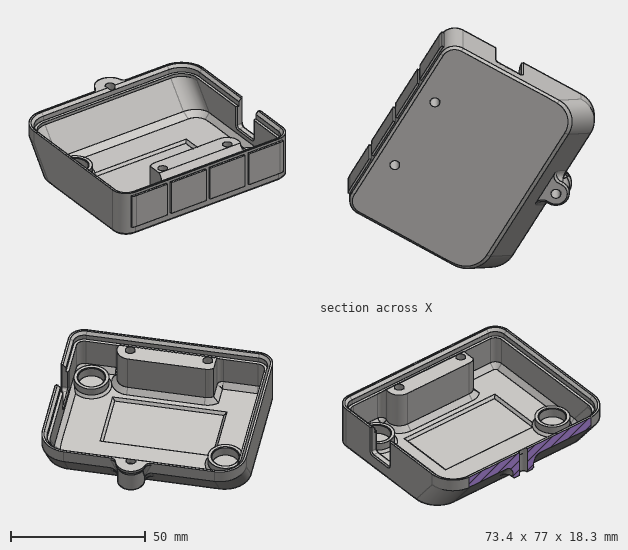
import cadquery as cq
import math


body_length = 66.8
body_width = 77.0
body_height = 18.32
left_corner_radius = 10.0
right_corner_radius = 6.0
bottom_chamfer = 1.0
rim_base_z = 13.4
underside_left_x = 10.2

wall = 3.0
floor_z = 2.0
floor_chamfer = 2.0
cavity_slope_top_z = 14.0
floor_left_x = 12.35
rim_flat = 0.8
seat_inset = 1.9
seat_z = body_height - 3.1
rim_bevel = seat_inset - rim_flat

recess_x = (25.5, 49.9)
recess_y = (-23.5, 19.7)
recess_depth = 1.0

ring_centers = [(54.75, 28.6), (21.9, -28.3)]
ring_outer_diameter = 13.0
ring_bore_diameter = 10.0
ring_height = 4.0
ring_foot = 1.0
ring_bore_chamfer = 0.3

screw_diameter = 3.6

block_hole_x = 58.9
block_hole_y = (-14.5, 14.8)
block_radius = body_length - wall - block_hole_x
block_front_y = -17.5
block_slope_x = 60.9
block_foot = 2.0
block_wall_fillet = 2.0

lug_y = 3.1
lug_radius = 5.8
lug_plate_thickness = 1.0
lug_plate_fillet = 2.0
boss_radius = 5.0
boss_cone_height = 1.6
boss_bottom_z = 7.4
boss_bottom_chamfer = 0.8
boss_flare = 3.0
neck_flare = 2.6
neck_end_flare = 0.3
neck_end_z = 12.0

notch_x = (35.3, 46.2)
notch_z = 6.2
notch_corner_radius = 1.1
notch_chamfer = 0.5

panel_height = 0.8
panel_z = (3.8, 17.2)
panel_pitch = 17.6
panel_gap = 1.8
panel_count = 4

overlap = 1.0


def outline(z, inset, left_x=None):
    """Rounded rectangle of the body moved inwards by inset; left_x overrides its left side."""
    x0 = inset if left_x is None else left_x
    x1 = body_length - inset
    y1 = body_width / 2 - inset
    rl = left_corner_radius - inset
    rr = right_corner_radius - inset
    diag = math.sqrt(0.5)
    return (
        cq.Workplane("XY", origin=(0, 0, z))
        .moveTo(x0 + rl, -y1)
        .lineTo(x1 - rr, -y1)
        .threePointArc((x1 - rr + rr * diag, -y1 + rr - rr * diag), (x1, -y1 + rr))
        .lineTo(x1, y1 - rr)
        .threePointArc((x1 - rr + rr * diag, y1 - rr + rr * diag), (x1 - rr, y1))
        .lineTo(x0 + rl, y1)
        .threePointArc((x0 + rl - rl * diag, y1 - rl + rl * diag), (x0, y1 - rl))
        .lineTo(x0, -y1 + rl)
        .threePointArc((x0 + rl - rl * diag, -y1 + rl - rl * diag), (x0 + rl, -y1))
        .close()
    )


def loft(lower, upper):
    """Straight-sided solid between two closed sections."""
    return cq.Workplane(cq.Solid.makeLoft([lower.wire().val(), upper.wire().val()], True))


def box(xs, ys, zs):
    """Axis-aligned box between pairs of limits."""
    return cq.Workplane(cq.Solid.makeBox(
        xs[1] - xs[0], ys[1] - ys[0], zs[1] - zs[0], cq.Vector(xs[0], ys[0], zs[0])
    ))


def cylinder(x, y, z0, z1, radius):
    return cq.Workplane("XY", origin=(x, y, z0)).circle(radius).extrude(z1 - z0)


def cone(x, y, z0, z1, radius0, radius1):
    return cq.Workplane(cq.Solid.makeCone(radius0, radius1, z1 - z0, cq.Vector(x, y, z0)))


def make_body():
    tub = loft(outline(0, 0, underside_left_x), outline(rim_base_z, 0))
    tub = tub.faces("<Z").chamfer(bottom_chamfer)
    rim = outline(rim_base_z, 0).extrude(body_height - rim_base_z)
    return tub.union(rim)


def make_cavity():
    lower = loft(outline(floor_z, wall, floor_left_x), outline(cavity_slope_top_z, wall))
    lower = lower.faces("<Z").chamfer(floor_chamfer)
    upper = outline(cavity_slope_top_z, wall).extrude(body_height - cavity_slope_top_z)
    return lower.union(upper)


def make_lid_seat():
    seat = outline(seat_z, seat_inset).extrude(body_height - seat_z)
    bevel = loft(outline(body_height - rim_bevel, seat_inset), outline(body_height, rim_flat))
    return seat.union(bevel)


def make_floor_recess():
    length = recess_x[1] - recess_x[0]
    width = recess_y[1] - recess_y[0]
    return (
        cq.Workplane("XY", origin=(sum(recess_x) / 2, sum(recess_y) / 2, floor_z))
        .rect(length, width)
        .extrude(-recess_depth, taper=45)
    )


def make_ring(x, y):
    """Solid ring with a flared foot; the bore is cut separately."""
    radius = ring_outer_diameter / 2
    post = cylinder(x, y, floor_z - recess_depth, floor_z + ring_height, radius)
    foot = cone(x, y, floor_z, floor_z + ring_foot, radius + ring_foot, radius)
    base = cylinder(x, y, floor_z - recess_depth, floor_z, radius + ring_foot)
    return post.union(foot).union(base)


def make_ring_bore(x, y):
    radius = ring_bore_diameter / 2
    top_z = floor_z + ring_height
    bore = cylinder(x, y, floor_z, top_z, radius)
    lead_in = cone(x, y, top_z - ring_bore_chamfer, top_z, radius, radius + ring_bore_chamfer)
    return bore.union(lead_in)


def block_section(z, grow):
    """Block outline grown by grow: rounded about both holes, cut flat in front, run into the wall."""
    radius = block_radius + grow
    front_y = block_front_y - grow
    left_x = block_hole_x - radius
    right_x = block_hole_x + radius
    inside_wall_x = right_x + overlap
    front_angle = math.pi + math.asin((block_hole_y[0] - front_y) / radius)

    def on_front_round(angle):
        return (block_hole_x + radius * math.cos(angle), block_hole_y[0] + radius * math.sin(angle))

    return (
        cq.Workplane("XY", origin=(0, 0, z))
        .moveTo(inside_wall_x, front_y)
        .lineTo(inside_wall_x, block_hole_y[1])
        .lineTo(right_x, block_hole_y[1])
        .threePointArc((block_hole_x, block_hole_y[1] + radius), (left_x, block_hole_y[1]))
        .lineTo(left_x, block_hole_y[0])
        .threePointArc(on_front_round((math.pi + front_angle) / 2), on_front_round(front_angle))
        .close()
    )


def make_wall_fillet(start_x, start_y, center_y):
    """Concave fillet from the block to the right wall, narrowing to a point at the floor."""
    radius = block_wall_fillet
    wall_x = body_length - wall
    center_x = wall_x - radius
    foot_top_z = floor_z + block_foot
    patch = box(
        (start_x, wall_x + overlap),
        (min(start_y, center_y), max(start_y, center_y)),
        (floor_z, body_height),
    )
    hollow = cylinder(center_x, center_y, foot_top_z, body_height, radius)
    hollow_foot = cone(center_x, center_y, floor_z, foot_top_z, 0, radius)
    return patch.cut(hollow).cut(hollow_foot)


def make_block():
    wall_x = body_length - wall
    fillet_x = wall_x - block_wall_fillet
    column = block_section(floor_z, 0).extrude(body_height - floor_z)
    foot = loft(block_section(floor_z, block_foot), block_section(floor_z + block_foot, 0))
    front_fillet = make_wall_fillet(fillet_x, block_front_y, block_front_y - block_wall_fillet)

    center_gap = block_radius + block_wall_fillet
    rise = math.sqrt(center_gap**2 - (fillet_x - block_hole_x) ** 2)
    touch_x = block_hole_x + (fillet_x - block_hole_x) * block_radius / center_gap
    rear_fillet = make_wall_fillet(touch_x, block_hole_y[1], block_hole_y[1] + rise)

    slope = (
        cq.Workplane("XZ")
        .polyline([
            (block_slope_x, body_height),
            (wall_x, seat_z),
            (body_length, seat_z),
            (body_length, body_height),
        ])
        .close()
        .extrude(body_width / 2, both=True)
    )
    return column.union(foot).union(front_fillet).union(rear_fillet).cut(slope)


def flare_section(z, wall_x, side, flare):
    """Web of half-width side that flares with concave arcs into a wall at wall_x."""
    back_x = wall_x + overlap
    bulge = flare * (1 - math.sqrt(0.5))
    return (
        cq.Workplane("XY", origin=(0, lug_y, z))
        .moveTo(back_x, side + flare)
        .lineTo(wall_x, side + flare)
        .threePointArc((wall_x - bulge, side + bulge), (wall_x - flare, side))
        .lineTo(wall_x - flare, -side)
        .threePointArc((wall_x - bulge, -side - bulge), (wall_x, -side - flare))
        .lineTo(back_x, -side - flare)
        .close()
    )


def make_lug_plate():
    """Half-round plate flush with the rim, blended into the wall by two concave arcs."""
    z0 = body_height - lug_plate_thickness
    fillet_y = math.sqrt((lug_radius + lug_plate_fillet) ** 2 - lug_plate_fillet**2)
    touch = lug_radius / (lug_radius + lug_plate_fillet)
    web = (
        cq.Workplane("XY", origin=(0, lug_y, z0))
        .rect(2 * lug_plate_fillet * touch, 2 * fillet_y)
        .extrude(lug_plate_thickness)
    )
    for side in (-1, 1):
        web = web.cut(
            cylinder(-lug_plate_fillet, lug_y + side * fillet_y, z0, body_height, lug_plate_fillet)
        )
    return web.union(cylinder(0, lug_y, z0, body_height, lug_radius))


def slope_x(z):
    """X of the outer slope at height z."""
    return underside_left_x * (1 - z / rim_base_z)


def make_slope_flare():
    """Web joining the boss to the sloped end, bevelled underneath like the boss."""
    bevel_z = boss_bottom_z + boss_bottom_chamfer
    bottom_side = boss_radius - boss_bottom_chamfer
    bottom = flare_section(boss_bottom_z, slope_x(boss_bottom_z), bottom_side, boss_flare)
    middle = flare_section(bevel_z, slope_x(bevel_z), boss_radius, boss_flare)
    top = flare_section(rim_base_z, 0, boss_radius, boss_flare)
    flare_side = boss_radius + boss_flare
    beside_wall = box(
        (0, body_length),
        (lug_y - flare_side, lug_y + flare_side),
        (boss_bottom_z, rim_base_z),
    )
    return loft(bottom, middle).union(loft(middle, top)).intersect(beside_wall)


def make_lug():
    plate_z = body_height - lug_plate_thickness
    post = cylinder(0, lug_y, boss_bottom_z, plate_z, boss_radius)
    web = box(
        (0, slope_x(boss_bottom_z) + overlap),
        (lug_y - boss_radius, lug_y + boss_radius),
        (boss_bottom_z, rim_base_z),
    )
    boss = post.union(web).faces("<Z").chamfer(boss_bottom_chamfer)
    head = cone(0, lug_y, plate_z - boss_cone_height, plate_z, boss_radius, lug_radius)
    neck = loft(
        flare_section(neck_end_z, 0, boss_radius, neck_end_flare),
        flare_section(plate_z, 0, boss_radius, neck_flare),
    )
    return boss.union(head).union(make_slope_flare()).union(neck).union(make_lug_plate())


def make_panels():
    """Row of plain raised panels that follow the right end and its corners."""
    z0, z1 = panel_z
    skin = outline(z0, -panel_height).extrude(z1 - z0)
    panels = cq.Workplane()
    for index in range(panel_count):
        center_y = (index - (panel_count - 1) / 2) * panel_pitch
        half_width = (panel_pitch - panel_gap) / 2
        slab = box(
            (body_length - wall, body_length + wall),
            (center_y - half_width, center_y + half_width),
            (z0, z1),
        )
        panels = panels.add(slab.intersect(skin))
    return panels


def make_notch():
    """Connector opening through the rear wall with rounded lower corners and bevelled rims."""
    center_x = sum(notch_x) / 2
    width = notch_x[1] - notch_x[0]
    height = body_height - notch_z
    outer_y = body_width / 2

    def opening(y, grow):
        """Opening outline in the plane at y, grown sideways and downwards by grow."""
        return (
            cq.Workplane("XZ", origin=(center_x, y, body_height))
            .sketch()
            .rect(width + 2 * grow, 2 * (height + grow))
            .vertices()
            .fillet(notch_corner_radius + grow)
            .finalize()
        )

    notch = opening(outer_y, 0).extrude(wall)
    for y, inward in ((outer_y, 1), (outer_y - wall, -1)):
        bevel = opening(y, notch_chamfer).extrude(inward * notch_chamfer, taper=45)
        notch = notch.union(bevel)
    return notch


def make_screw_hole(x, y):
    return cylinder(x, y, 0, body_height, screw_diameter / 2)


def make_part():
    cavity = make_cavity().union(make_lid_seat())
    part = make_body().union(make_lug()).union(make_panels())
    part = part.cut(cavity).cut(make_floor_recess()).union(make_block())
    for x, y in ring_centers:
        part = part.union(make_ring(x, y)).cut(make_ring_bore(x, y))
    part = part.cut(make_notch())
    for x, y in [(0, lug_y)] + [(block_hole_x, y) for y in block_hole_y]:
        part = part.cut(make_screw_hole(x, y))
    return part


result = make_part()